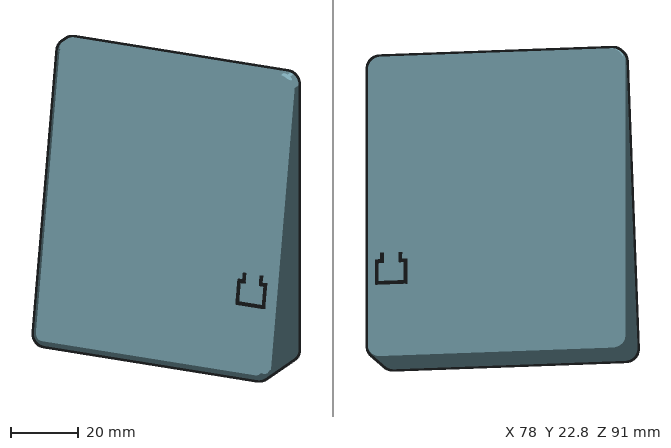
import cadquery as cq
import math

WIDTH = 78.0
DEPTH = 22.75
HEIGHT = 91.0
LEAN = math.radians(11)

CORNER_RADIUS = 4.0
FRONT_RADIUS = 2.0
BACK_RADIUS = 1.1

SLIT_WIDTH = 0.5
SLIT_CENTER_X = 31.4
SLIT_BOTTOM = 22.4
PAD_WIDTH = 9.1
PAD_HEIGHT = 7.0
NECK_WIDTH = 6.0
NECK_HEIGHT = 2.0


def wedge():
    """Rounded rectangular block with its front face leaning back."""
    bottom_depth = DEPTH - FRONT_RADIUS + FRONT_RADIUS * (1 / math.cos(LEAN) + math.tan(LEAN))
    top_depth = bottom_depth - HEIGHT * math.tan(LEAN)
    profile = [(0, 0), (-bottom_depth, 0), (-top_depth, HEIGHT), (0, HEIGHT)]
    side = cq.Workplane("YZ").polyline(profile).close().extrude(WIDTH / 2, both=True)
    outline = (
        cq.Workplane("XZ")
        .center(0, HEIGHT / 2)
        .rect(WIDTH, HEIGHT)
        .extrude(bottom_depth)
        .edges("|Y")
        .fillet(CORNER_RADIUS)
    )
    body = side.intersect(outline)
    body = body.faces("<Y").edges().fillet(FRONT_RADIUS)
    return body.faces(">Y").edges().fillet(BACK_RADIUS)


def tongue_outline(inset):
    """Prism of the stepped tongue, drawn in from the outer slit edge by inset."""
    pad_half = PAD_WIDTH / 2 - inset
    neck_half = NECK_WIDTH / 2 - inset
    bottom = SLIT_BOTTOM + inset
    shoulder = SLIT_BOTTOM + PAD_HEIGHT - inset
    top = SLIT_BOTTOM + PAD_HEIGHT + NECK_HEIGHT
    points = [
        (-pad_half, bottom),
        (pad_half, bottom),
        (pad_half, shoulder),
        (neck_half, shoulder),
        (neck_half, top),
        (-neck_half, top),
        (-neck_half, shoulder),
        (-pad_half, shoulder),
    ]
    return cq.Workplane("XZ").center(SLIT_CENTER_X, 0).polyline(points).close().extrude(DEPTH)


slit = tongue_outline(0).cut(tongue_outline(SLIT_WIDTH))
result = wedge().cut(slit)